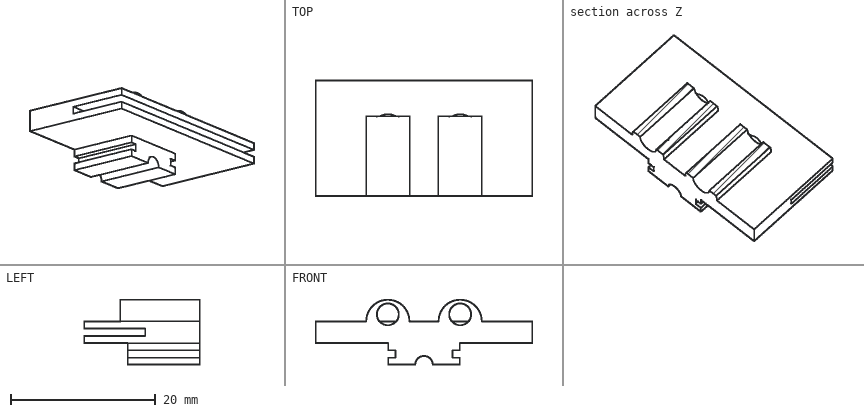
import cadquery as cq
import math

plate_width = 30.0
plate_depth = plate_width * 8 / 15
plate_height = plate_width / 10

slot_height = plate_height / 3
slot_depth = 8.43

barrel_radius = plate_height
barrel_length = 11.0
barrel_spacing = plate_width / 3
hole_diameter = 3.0
hole_wall_top = 0.55
hole_center_z = plate_height + barrel_radius - hole_wall_top - hole_diameter / 2
drill_point_angle = 118.0

rail_width = 9.9
rail_height = plate_height
rail_length = 10.0
groove_size = rail_height / 3
channel_radius = 1.2


def box(width, depth, height, x, y, z):
    """Box centred on x, starting at y and z."""
    return cq.Workplane("XY").box(width, depth, height, centered=(True, False, False)).translate((x, y, z))


def rod(radius, length, x, z):
    """Cylinder running back from the front face."""
    return cq.Workplane("XZ").center(x, z).circle(radius).extrude(-length)


def drilled_hole(x):
    """Straight bore as long as the barrel, ending in a conical drill point."""
    radius = hole_diameter / 2
    point_length = radius / math.tan(math.radians(drill_point_angle / 2))
    point = cq.Solid.makeCone(
        radius, 0, point_length,
        pnt=cq.Vector(x, barrel_length, hole_center_z),
        dir=cq.Vector(0, 1, 0),
    )
    return rod(radius, barrel_length, x, hole_center_z).union(cq.Workplane(point))


def make_rail():
    rail = box(rail_width, rail_length, rail_height, 0, 0, -rail_height)
    for side in (-1, 1):
        groove_x = side * (rail_width - groove_size) / 2
        groove_z = -rail_height + groove_size
        rail = rail.cut(box(groove_size, rail_length, groove_size, groove_x, 0, groove_z))
    return rail.cut(rod(channel_radius, rail_length, 0, -rail_height))


plate = box(plate_width, plate_depth, plate_height, 0, 0, 0)
slot = box(plate_width, slot_depth, slot_height, 0, plate_depth - slot_depth, (plate_height - slot_height) / 2)

barrel_positions = (-barrel_spacing / 2, barrel_spacing / 2)
body = plate.union(make_rail())
for barrel_x in barrel_positions:
    body = body.union(rod(barrel_radius, barrel_length, barrel_x, plate_height))
body = body.cut(slot)
for barrel_x in barrel_positions:
    body = body.cut(drilled_hole(barrel_x))

result = body